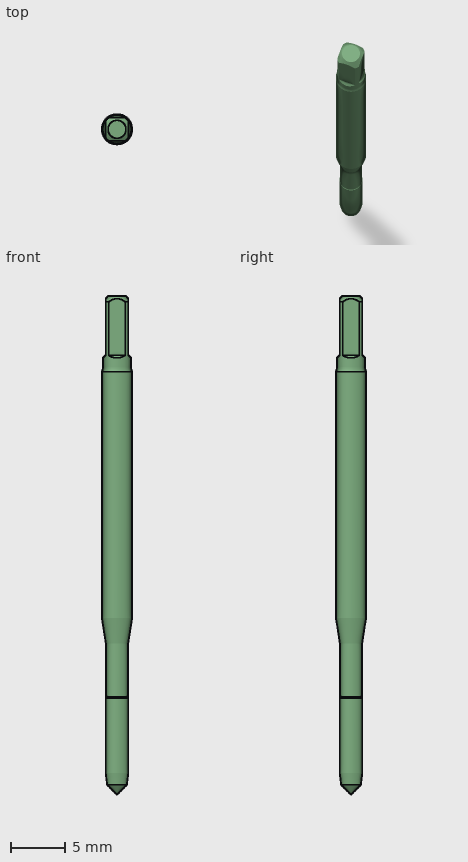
import cadquery as cq

total_length = 45.9

cutting_diameter = 2.1
cutting_length = 9.05
rim_chamfer = 0.15
lead_length = 2.0
point_diameter = 1.85
point_height = point_diameter / 2

neck_diameter = 2.05
shank_diameter = 2.8
drive_diameter = 2.6
neck_taper_bottom = 13.9
neck_taper_top = 16.25
flare_bottom = 38.9
flare_top = 39.3

square_width = 2.1
square_bottom = 40.4
top_face_diameter = 1.65
top_chamfer_height = 0.55


def turned(profile):
    """Turn a closed half-section in the XZ plane about Z."""
    return profile.close().revolve(360, (0, 0), (0, 1))


def make_cutting_section():
    return turned(
        cq.Workplane("XZ")
        .lineTo(point_diameter / 2, point_height)
        .lineTo(cutting_diameter / 2, lead_length)
        .lineTo(cutting_diameter / 2, cutting_length - rim_chamfer)
        .lineTo(cutting_diameter / 2 - rim_chamfer, cutting_length)
        .lineTo(0, cutting_length)
    )


def make_flat_cutter():
    """Material removed on the +X side: a flat that runs out at 45 degrees."""
    flat = square_width / 2
    outside = shank_diameter
    return (
        cq.Workplane("XZ")
        .polyline([
            (flat, square_bottom),
            (outside, square_bottom - (outside - flat)),
            (outside, total_length),
            (flat, total_length),
        ])
        .close()
        .extrude(shank_diameter / 2, both=True)
    )


def make_shank():
    shank = turned(
        cq.Workplane("XZ")
        .moveTo(0, total_length)
        .lineTo(top_face_diameter / 2, total_length)
        .lineTo(drive_diameter / 2, total_length - top_chamfer_height)
        .lineTo(drive_diameter / 2, flare_top)
        .tangentArcPoint((shank_diameter / 2, flare_bottom), relative=False)
        .lineTo(shank_diameter / 2, neck_taper_top)
        .lineTo(neck_diameter / 2, neck_taper_bottom)
        .lineTo(neck_diameter / 2, cutting_length)
        .lineTo(0, cutting_length)
    )
    flat_cutter = make_flat_cutter()
    for angle in (0, 90, 180, 270):
        shank = shank.cut(flat_cutter.rotate((0, 0, 0), (0, 0, 1), angle))
    return shank


cutting_section = make_cutting_section()
shank = make_shank()

result = cq.Compound.makeCompound([cutting_section.solids().val(), shank.solids().val()])